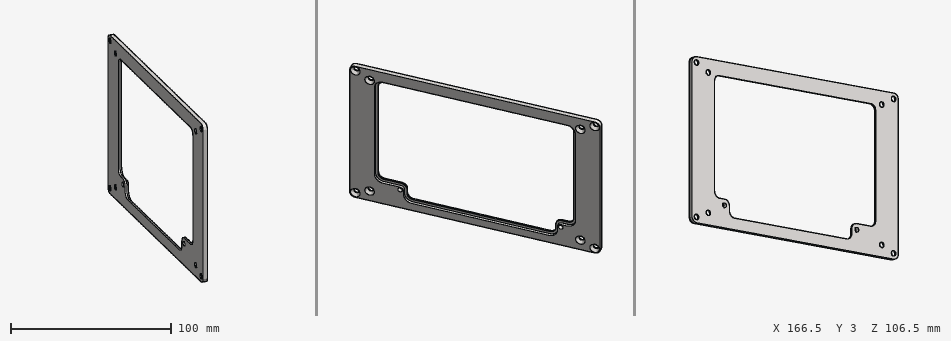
import cadquery as cq

width = 166.5
height = 106.5
thickness = 3.0
plate_corner_radius = 3.75

side_border = 18.25
top_border = 9.5
bottom_border = 7.5
opening_corner_radius = 4.0

lip_thickness = 1.25
rebate_width = 1.75

tab_top_from_bottom = 18.5
left_tab_end_from_side = 30.25
right_tab_end_from_side = 37.5
tab_hole_inset = 4.0
tab_hole_diameter = 3.0

screw_hole_diameter = 3.4
countersink_diameter = 6.4
countersink_start = 0.75
mount_hole_spacing_x = 140.0
mount_hole_spacing_z = 90.0
mount_hole_shift_z = -0.5

front_y = -thickness / 2
left = -width / 2 + side_border
right = width / 2 - side_border
top = height / 2 - top_border
bottom = -height / 2 + bottom_border
tab_top = -height / 2 + tab_top_from_bottom
left_tab_end = -width / 2 + left_tab_end_from_side
right_tab_end = width / 2 - right_tab_end_from_side
corner_hole_spacing_x = width - 2 * plate_corner_radius
corner_hole_spacing_z = height - 2 * plate_corner_radius


def section_plane(depth=0.0):
    """XZ workplane at a depth behind the -Y face; extrude negative to go towards +Y."""
    return cq.Workplane("XZ", origin=(0, front_y + depth, 0))


def plate():
    blank = section_plane().rect(width, height).extrude(-thickness)
    return blank.edges("|Y").fillet(plate_corner_radius)


def opening():
    """Window stepped around the two tabs, with every corner rounded."""
    outline = [
        (left, top),
        (right, top),
        (right, tab_top),
        (right_tab_end, tab_top),
        (right_tab_end, bottom),
        (left_tab_end, bottom),
        (left_tab_end, tab_top),
        (left, tab_top),
    ]
    window = section_plane().polyline(outline).close().extrude(-thickness)
    return window.edges("|Y").fillet(opening_corner_radius)


def rebate(window):
    """Enlarged copy of the window outline, cut from the lip to the +Y face."""
    outline = window.faces("<Y").wires().val()
    enlarged = outline.offset2D(rebate_width)[0].translate(cq.Vector(0, lip_thickness, 0))
    depth = thickness - lip_thickness
    return cq.Workplane(cq.Solid.extrudeLinear(enlarged, [], cq.Vector(0, depth, 0)))


def holes(centres, diameter):
    return section_plane().pushPoints(centres).circle(diameter / 2).extrude(-thickness)


def countersink(x, z):
    """Cone widening from the screw hole to its full diameter at the +Y face."""
    return cq.Solid.makeCone(
        screw_hole_diameter / 2,
        countersink_diameter / 2,
        thickness - countersink_start,
        cq.Vector(x, front_y + countersink_start, z),
        cq.Vector(0, 1, 0),
    )


def rectangle_corners(spacing_x, spacing_z, centre_z=0.0):
    return [
        (side_x * spacing_x / 2, centre_z + side_z * spacing_z / 2)
        for side_x in (-1, 1)
        for side_z in (-1, 1)
    ]


corner_holes = rectangle_corners(corner_hole_spacing_x, corner_hole_spacing_z)
mount_holes = rectangle_corners(mount_hole_spacing_x, mount_hole_spacing_z, mount_hole_shift_z)
screw_holes = corner_holes + mount_holes

tab_hole_z = tab_top - tab_hole_inset
tab_holes = [
    (left_tab_end - tab_hole_inset, tab_hole_z),
    (right_tab_end + tab_hole_inset, tab_hole_z),
]

window = opening()
result = plate().cut(window).cut(rebate(window))
result = result.cut(holes(tab_holes, tab_hole_diameter))
result = result.cut(holes(screw_holes, screw_hole_diameter))
for hole_x, hole_z in screw_holes:
    result = result.cut(cq.Workplane(countersink(hole_x, hole_z)))